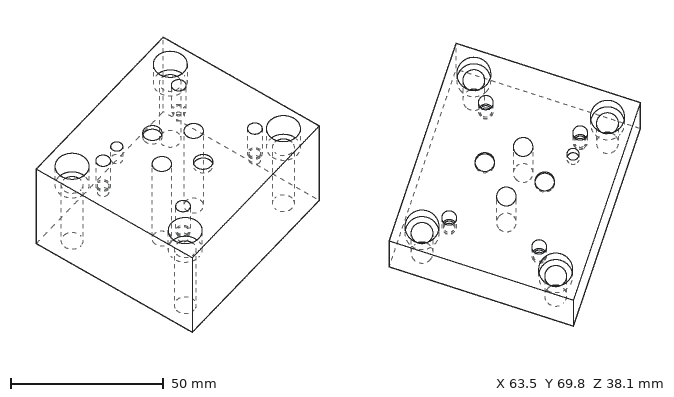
import cadquery as cq
import math

LENGTH_X = 63.5
LENGTH_Y = 69.85
HEIGHT = 38.1

MOUNT_SPACING_X = 46.02
MOUNT_SPACING_Y = 53.98
MOUNT_DIAMETER = 7.14
COUNTERBORE_DIAMETER = 11.12
COUNTERBORE_DEPTH = 9.53

PORT_DIAMETER = 6.35
THROUGH_PORT_SPACING_Y = 17.5
BLIND_PORT_SPACING_X = 20.64
BLIND_PORT_DEPTH = 1.85

THREAD_DIAMETER = 4.83
THREAD_DEPTH = 12.7
TAP_DRILL_DIAMETER = 3.79
TAP_DRILL_DEPTH = 16.0
UPPER_VALVE_SPACING_X = 31.0
LOWER_VALVE_SPACING_X = 32.5
UPPER_VALVE_Y = 21.45
VALVE_SPACING_Y = 40.5
LOWER_VALVE_Y = UPPER_VALVE_Y - VALVE_SPACING_Y

PIN_DIAMETER = 3.96
PIN_DEPTH = 6.35
PIN_X = -LOWER_VALVE_SPACING_X / 2
PIN_TO_VALVE_Y = 7.5
PIN_Y = LOWER_VALVE_Y + PIN_TO_VALVE_Y

DRILL_POINT_ANGLE = 118.0


def mirrored_in_x(spacing, y):
    """Two points on a line parallel to X, either side of X = 0."""
    return [(-spacing / 2, y), (spacing / 2, y)]


def straight_cutter(diameter, depth):
    """Cylinder reaching down from the top face, at X = Y = 0."""
    return cq.Workplane("XY").workplane(offset=HEIGHT - depth).circle(diameter / 2).extrude(depth)


def drill_cutter(diameter, depth):
    """Drilled hole with a conical point below its full-diameter depth."""
    radius = diameter / 2
    point_length = radius / math.tan(math.radians(DRILL_POINT_ANGLE / 2))
    shoulder_z = HEIGHT - depth
    return (
        cq.Workplane("XZ")
        .moveTo(0, HEIGHT)
        .lineTo(radius, HEIGHT)
        .lineTo(radius, shoulder_z)
        .lineTo(0, shoulder_z - point_length)
        .close()
        .revolve(360, (0, 0), (0, 1))
    )


def cut_at(body, cutter, points):
    """Cut the same hole at each of the given XY points."""
    for x, y in points:
        body = body.cut(cutter.translate((x, y, 0)))
    return body


def cut_mounting_holes(body):
    points = []
    for y in (-MOUNT_SPACING_Y / 2, MOUNT_SPACING_Y / 2):
        points += mirrored_in_x(MOUNT_SPACING_X, y)
    hole = straight_cutter(MOUNT_DIAMETER, HEIGHT)
    counterbore = straight_cutter(COUNTERBORE_DIAMETER, COUNTERBORE_DEPTH)
    return cut_at(body, hole.union(counterbore), points)


def cut_ports(body):
    through_points = [(0, -THROUGH_PORT_SPACING_Y / 2), (0, THROUGH_PORT_SPACING_Y / 2)]
    body = cut_at(body, straight_cutter(PORT_DIAMETER, HEIGHT), through_points)
    blind_points = mirrored_in_x(BLIND_PORT_SPACING_X, 0)
    return cut_at(body, drill_cutter(PORT_DIAMETER, BLIND_PORT_DEPTH), blind_points)


def cut_valve_holes(body):
    points = mirrored_in_x(UPPER_VALVE_SPACING_X, UPPER_VALVE_Y)
    points += mirrored_in_x(LOWER_VALVE_SPACING_X, LOWER_VALVE_Y)
    thread = straight_cutter(THREAD_DIAMETER, THREAD_DEPTH)
    tap_drill = drill_cutter(TAP_DRILL_DIAMETER, TAP_DRILL_DEPTH)
    return cut_at(body, thread.union(tap_drill), points)


def cut_pin_hole(body):
    return cut_at(body, drill_cutter(PIN_DIAMETER, PIN_DEPTH), [(PIN_X, PIN_Y)])


block = cq.Workplane("XY").box(LENGTH_X, LENGTH_Y, HEIGHT, centered=(True, True, False))
block = cut_mounting_holes(block)
block = cut_ports(block)
block = cut_valve_holes(block)
result = cut_pin_hole(block)